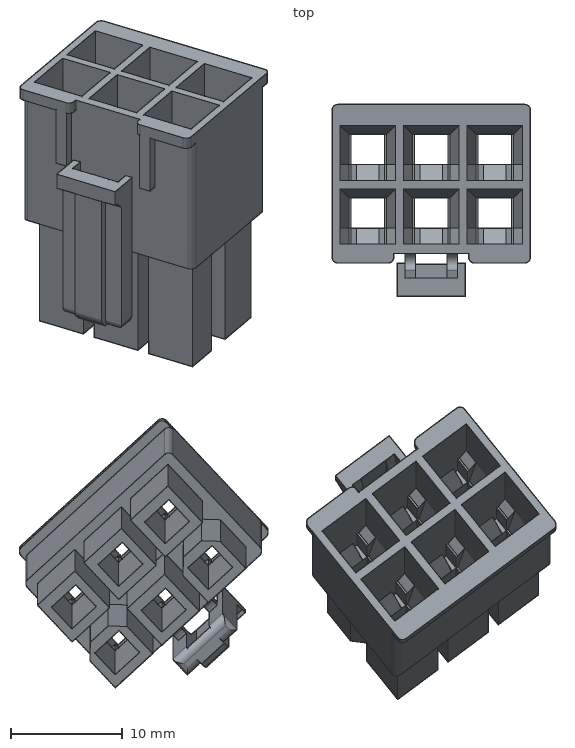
import cadquery as cq
import math


housing_top = 24.92
leg_height = 10.96

housing_width = 17.75
housing_depth = 12.5
flange_thickness = 1.07
flange_overhang = 0.85
corner_radius = 0.52
notch_half_width = 3.35

key_width = 1.07
key_bottom = 18.37
key_inset = 0.47
key_inner_x = notch_half_width + key_inset

pitch = 5.68
columns = (-1, 0, 1)
back_row_y = 9.37
front_row_y = back_row_y - pitch
leg_size = 4.55
leg_corner_chamfer = 1.2

pocket_size = 4.93
pocket_offset = 0.37
pocket_taper_top = 16.45
pocket_taper_height = 4.24
pocket_taper = 0.8
hole_width = 2.97
ledge_depth = 1.45
ramp_width = 2.05

latch_half_width = 3.05
latch_top = 19.25
latch_bottom = 4.39
latch_back = flange_overhang
latch_front = 2.75
latch_rib_front = 3.45
latch_head_front = 3.81
latch_head_height = 1.45
latch_rib_half_width = 1.4
latch_rib_chamfer = 0.62
latch_rib_radius = 0.55
latch_edge_radius = 0.5
latch_back_radius = 0.87

channel_half_width = 2.37
channel_front = 2.2
strap_gap_half_width = latch_rib_half_width
strap_top = 13.53
strap_bottom = 11.99
strap_top_radius = 0.75
strap_bottom_radius = 0.6
strap_embed = 0.5
gap_floor_thickness = 0.47

flange_bottom = housing_top - flange_thickness
taper_bottom = pocket_taper_top - pocket_taper_height


def box(x_min, x_max, y_min, y_max, z_min, z_max):
    """Block between the given limits."""
    size = (x_max - x_min, y_max - y_min, z_max - z_min)
    return cq.Workplane("XY").box(*size, centered=False).translate((x_min, y_min, z_min))


def wide_box(half_width, y_min, y_max, z_min, z_max):
    """Block centred on X = 0."""
    return box(-half_width, half_width, y_min, y_max, z_min, z_max)


def side_box(side, x_inner, x_outer, y_min, y_max, z_min, z_max):
    """Block on the right (side = 1) or left (side = -1) of the plane X = 0."""
    x_min, x_max = sorted((side * x_inner, side * x_outer))
    return box(x_min, x_max, y_min, y_max, z_min, z_max)


def side_profile(half_width):
    """YZ sketch plane whose extrusion by twice the half width is centred on X = 0."""
    return cq.Workplane("YZ").workplane(offset=-half_width)


def make_housing():
    """Rounded block with a notched flange at the top and two key ribs under the flange."""
    half_width = housing_width / 2
    flange_front = -flange_overhang
    flange_back = housing_depth + flange_overhang
    key_outer_x = key_inner_x + key_width
    body = wide_box(half_width, 0, housing_depth, leg_height, housing_top)
    body = body.edges("|Z").fillet(corner_radius)

    flange = wide_box(half_width, 0, flange_back, flange_bottom, housing_top)
    flange = flange.edges("|Z and >Y").fillet(corner_radius)
    housing = body.union(flange)
    for side in (-1, 1):
        lip = side_box(
            side, notch_half_width, half_width, flange_front, corner_radius, flange_bottom, housing_top
        )
        lip = lip.edges("|Z and <Y").fillet(corner_radius)
        key = side_box(side, key_inner_x, key_outer_x, flange_front, 0, key_bottom, flange_bottom)
        housing = housing.union(lip).union(key)
    return housing


def make_leg(x, y, chamfered):
    """Square leg, with its two back corners cut off if chamfered."""
    half = leg_size / 2
    leg = box(x - half, x + half, y - half, y + half, 0, leg_height)
    if chamfered:
        leg = leg.faces(">Y").edges("|Z").chamfer(leg_corner_chamfer)
    return leg


def make_cavity(x, leg_y):
    """Square pocket that tapers down to a through hole, with a ledge and a ramp along its front wall."""
    half = pocket_size / 2
    narrow_half = half - pocket_taper
    hole_half = hole_width / 2
    front = -half
    ledge_back = front + ledge_depth
    hole_back = narrow_half

    cavity = wide_box(half, front, half, pocket_taper_top, housing_top)
    funnel = (
        cq.Workplane("XY")
        .workplane(offset=taper_bottom)
        .moveTo(0, (ledge_back + hole_back) / 2)
        .rect(2 * narrow_half, hole_back - ledge_back)
        .workplane(offset=pocket_taper_height)
        .moveTo(0, (ledge_back + half) / 2)
        .rect(2 * half, half - ledge_back)
        .loft(ruled=True)
    )
    shoulders = (
        cq.Workplane("XZ")
        .polyline(
            [
                (-half, pocket_taper_top),
                (half, pocket_taper_top),
                (narrow_half, pocket_taper_top - pocket_taper),
                (-narrow_half, pocket_taper_top - pocket_taper),
            ]
        )
        .close()
        .extrude(-ledge_depth)
        .translate((0, front, 0))
    )
    trough = wide_box(hole_half, front, ledge_back, taper_bottom, pocket_taper_top)
    ramp = (
        side_profile(ramp_width / 2)
        .polyline([(front, taper_bottom), (ledge_back, taper_bottom), (front, taper_bottom + ledge_depth)])
        .close()
        .extrude(ramp_width)
    )
    hole = wide_box(hole_half, ledge_back, hole_back, 0, pocket_taper_top)
    cavity = cavity.union(funnel).union(shoulders).union(trough.cut(ramp)).union(hole)
    return cavity.translate((x, leg_y - pocket_offset, 0))


def make_lever():
    """Lever with a head at the top, a rib down the front and rounded lower edges."""
    head_bottom = latch_top - latch_head_height
    chamfer = latch_rib_front - latch_front
    block = wide_box(latch_half_width, -latch_front, -latch_back, latch_bottom, latch_top)
    round_sided = block.edges("<Z and |Y").fillet(latch_edge_radius)
    lever = block.edges("<Z and <Y").fillet(latch_edge_radius)
    lever = lever.edges("<Z and >Y").fillet(latch_back_radius)
    lever = lever.intersect(round_sided)
    head = (
        side_profile(latch_half_width)
        .polyline(
            [
                (-latch_back, latch_top),
                (-latch_head_front, latch_top),
                (-latch_head_front, head_bottom),
                (-latch_rib_front, head_bottom),
                (-latch_front, head_bottom - chamfer),
                (-latch_back, head_bottom - chamfer),
            ]
        )
        .close()
        .extrude(2 * latch_half_width)
    )
    rib = wide_box(latch_rib_half_width, -latch_rib_front, -channel_front, latch_bottom, head_bottom)
    rib = rib.faces("<Z").edges("<Y").chamfer(latch_rib_chamfer)
    rib = rib.faces("<Y").edges("<Z").fillet(latch_rib_radius)
    return lever.union(head).union(rib)


def make_strap(x_min):
    """Strap that leaves the housing wall, bends up into the channel and rises to the top of the lever."""
    bend_y = -strap_top_radius
    bend_z = strap_top + strap_top_radius
    reach = channel_front - strap_top_radius
    rise = latch_top - bend_z
    tangent_angle = math.atan2(rise, reach) - math.acos(strap_top_radius / math.hypot(reach, rise))
    tangent_y = bend_y - strap_top_radius * math.cos(tangent_angle)
    tangent_z = bend_z + strap_top_radius * math.sin(tangent_angle)
    arc_sag = strap_bottom_radius * (1 - math.sqrt(0.5))
    return (
        cq.Workplane("YZ")
        .workplane(offset=x_min)
        .moveTo(0, bend_z)
        .threePointArc((bend_y, strap_top), (tangent_y, tangent_z))
        .lineTo(-channel_front, latch_top)
        .lineTo(-channel_front, strap_bottom)
        .lineTo(-strap_bottom_radius, strap_bottom)
        .threePointArc((-arc_sag, strap_bottom - arc_sag), (0, strap_bottom - strap_bottom_radius))
        .lineTo(strap_embed, strap_bottom - strap_bottom_radius)
        .lineTo(strap_embed, bend_z)
        .close()
        .extrude(channel_half_width - strap_gap_half_width)
    )


def make_latch():
    """Lever hollowed by a channel and by the deep gap in its middle, with a strap on each side of the gap."""
    channel = wide_box(channel_half_width, -channel_front, -latch_back, strap_bottom, latch_top)
    gap_floor = latch_bottom + gap_floor_thickness
    gap = wide_box(strap_gap_half_width, -channel_front, -latch_back, gap_floor, latch_top)
    latch = make_lever().cut(channel).cut(gap)
    for x_min in (-channel_half_width, strap_gap_half_width):
        latch = latch.union(make_strap(x_min))
    return latch


result = make_housing().union(make_latch())
for column in columns:
    for row_y in (front_row_y, back_row_y):
        is_chamfered = row_y == front_row_y and column != 0
        result = result.union(make_leg(column * pitch, row_y, is_chamfered))
        result = result.cut(make_cavity(column * pitch, row_y))